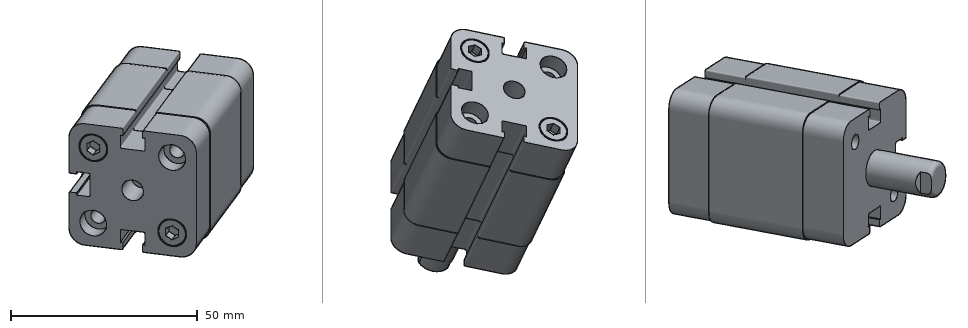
import cadquery as cq
import math

total_length = 72.5
rod_length = 19.5
cap_length = 12.25
body_length = total_length - rod_length
barrel_length = body_length - 2 * cap_length

barrel_width = 36.1
cap_width = 35.6
cap_corner_radius = 4.5
barrel_corner_radius = 4.4

slot_opening_width = 5.5
slot_inner_width = 6.8
slot_lip_depth = 2.4
barrel_slot_floor = 11.95
cap_slot_floor = 11.9
slot_floor_radius = 0.4
slot_lip_radius = 0.4

corner_offset = 11.0
mount_hole_diameter = 4.1
mount_counterbore_diameter = 7.5
mount_counterbore_depth = 4.7
screw_pocket_diameter = 8.0
screw_head_diameter = 7.5
screw_gap_depth = 0.5
hex_across_flats = 3.55
hex_depth = 3.0

center_hole_diameter = 6.0
center_hole_depth = 8.7

rod_diameter = 10.0
rod_tip_radius = 1.4
rod_flat_width = 8.0
rod_flat_length = 3.4


def plane_at(y):
    """Plane facing -Y at the given Y, with local x along +X and local y along +Z."""
    return cq.Plane(origin=(0, y, 0), xDir=(1, 0, 0), normal=(0, -1, 0))


def extrude_back(sketch, length):
    """Extrude a profile toward +Y."""
    return sketch.extrude(-length)


def slotted_block(start, length, width, corner_radius, slot_floor):
    """Rounded square bar with T-slots on its +Z, -Z and -X sides."""
    block = extrude_back(cq.Workplane(plane_at(start)).rect(width, width), length)
    block = block.edges("|Y").fillet(corner_radius)
    for angle in (0, 90, 180):
        block = block.cut(t_slot(start, length, width, slot_floor).rotate((0, 0, 0), (0, 1, 0), -angle))
    return block


def t_slot(start, length, width, slot_floor):
    """T-slot cutter on the +Z side, with a flared mouth that rounds the lips."""
    half_width = width / 2
    half_opening = slot_opening_width / 2
    half_mouth = half_opening + slot_lip_radius
    lip_bottom = barrel_width / 2 - slot_lip_depth
    bend = slot_lip_radius * (1 - math.sqrt(0.5))
    mouth = (
        cq.Workplane(plane_at(start))
        .moveTo(-half_opening, slot_floor)
        .lineTo(-half_opening, half_width - slot_lip_radius)
        .threePointArc((-half_opening - bend, half_width - bend), (-half_mouth, half_width))
        .lineTo(half_mouth, half_width)
        .threePointArc((half_opening + bend, half_width - bend), (half_opening, half_width - slot_lip_radius))
        .lineTo(half_opening, slot_floor)
        .close()
    )
    chamber = (
        cq.Workplane(plane_at(start))
        .center(0, (slot_floor + lip_bottom) / 2)
        .rect(slot_inner_width, lip_bottom - slot_floor)
    )
    chamber = extrude_back(chamber, length).edges("|Y and <Z").fillet(slot_floor_radius)
    return extrude_back(mouth, length).union(chamber)


def piston_rod():
    """Round rod with a rounded tip and two wrench flats facing -X and +X."""
    radius = rod_diameter / 2
    rod = extrude_back(cq.Workplane(plane_at(cap_length)).circle(radius), total_length - cap_length)
    rod = rod.faces(">Y").edges().fillet(rod_tip_radius)
    flat_end = total_length - rod_flat_length
    half_flat = rod_flat_width / 2
    shoulder = radius - half_flat
    for side in (-1, 1):
        flat = (
            cq.Workplane("XY")
            .moveTo(side * half_flat, total_length)
            .lineTo(side * half_flat, flat_end)
            .lineTo(side * (half_flat + shoulder), flat_end - shoulder)
            .lineTo(side * (half_flat + shoulder), total_length)
            .close()
            .extrude(rod_diameter, both=True)
        )
        rod = rod.cut(flat)
    return rod


def mount_hole(x, z):
    """Cutter for a hole through the whole body, counterbored at the front face."""
    bore = extrude_back(cq.Workplane(plane_at(0)).center(x, z).circle(mount_hole_diameter / 2), body_length)
    counterbore = cq.Workplane(plane_at(0)).center(x, z).circle(mount_counterbore_diameter / 2)
    return bore.union(extrude_back(counterbore, mount_counterbore_depth))


def screw_recess(x, z):
    """Cutter for the hex socket and the narrow ring gap around a flush screw head."""
    gap = (
        cq.Workplane(plane_at(0))
        .center(x, z)
        .circle(screw_pocket_diameter / 2)
        .circle(screw_head_diameter / 2)
    )
    hex_socket = (
        cq.Workplane(plane_at(0))
        .center(x, z)
        .polygon(6, hex_across_flats, circumscribed=True)
    )
    return extrude_back(gap, screw_gap_depth).union(extrude_back(hex_socket, hex_depth))


front_cap = slotted_block(0, cap_length, cap_width, cap_corner_radius, cap_slot_floor)
barrel = slotted_block(cap_length, barrel_length, barrel_width, barrel_corner_radius, barrel_slot_floor)
rear_cap = slotted_block(cap_length + barrel_length, cap_length, cap_width, cap_corner_radius, cap_slot_floor)
result = front_cap.union(barrel).union(rear_cap).union(piston_rod())

for side in (-1, 1):
    result = result.cut(mount_hole(side * corner_offset, side * corner_offset))
    result = result.cut(screw_recess(-side * corner_offset, side * corner_offset))

center_hole = cq.Workplane(plane_at(0)).circle(center_hole_diameter / 2)
result = result.cut(extrude_back(center_hole, center_hole_depth))